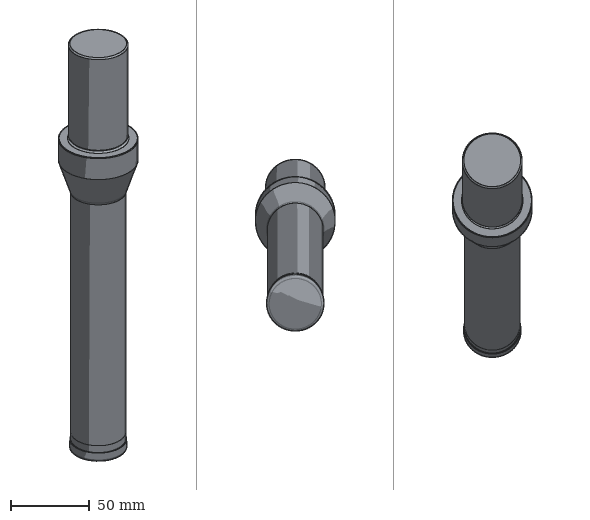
import cadquery as cq
import math

inch = 25.4
total_length = 297.43
axis_start = (0, 0, 0)
axis_end = (0, 1, 0)

foot_radius = 18.35
foot_round = 1.7
dome_height = 0.5
land_top = 7.0
land_top_radius = 18.05
spigot_top = 12.0
spigot_radius = 17.3

tube_radius = 17.8
neck_height = 1.5
cone_small_radius = 18.3
cone_height = 21.4
collar_radius = inch
collar_height = 15.9
collar_chamfer = 0.5
shank_radius = 0.75 * inch
shank_length = 69.5
shank_chamfer = 1.0

groove_height = 2.0
groove_floor_height = 0.9
groove_floor_radius = shank_radius - 1.0
groove_collar_radius = shank_radius + 0.5

collar_top = total_length - shank_length
cone_top = collar_top - collar_height
cone_bottom = cone_top - cone_height
neck_bottom = cone_bottom - neck_height


def revolve_about_z(profile):
    """Close a radius-height outline and turn it about the Z axis."""
    return profile.close().revolve(360, axis_start, axis_end)


def make_foot():
    rim_radius = foot_radius - foot_round
    round_top = dome_height + foot_round
    round_offset = foot_round * math.sqrt(0.5)
    round_middle = (rim_radius + round_offset, round_top - round_offset)

    dome_radius = (rim_radius**2 + dome_height**2) / (2 * dome_height)
    dome_middle_radius = rim_radius / 2
    dome_middle = (
        dome_middle_radius,
        dome_radius - math.sqrt(dome_radius**2 - dome_middle_radius**2),
    )
    profile = (
        cq.Workplane("XZ")
        .threePointArc(dome_middle, (rim_radius, dome_height))
        .threePointArc(round_middle, (foot_radius, round_top))
        .lineTo(land_top_radius, land_top)
        .lineTo(spigot_radius, land_top)
        .lineTo(spigot_radius, spigot_top)
        .lineTo(0, spigot_top)
    )
    return revolve_about_z(profile)


def make_post():
    profile = (
        cq.Workplane("XZ")
        .moveTo(0, spigot_top)
        .lineTo(spigot_radius, spigot_top)
        .lineTo(spigot_radius, land_top)
        .lineTo(tube_radius, land_top)
        .lineTo(tube_radius, neck_bottom)
        .lineTo(cone_small_radius, cone_bottom)
        .lineTo(collar_radius, cone_top)
        .lineTo(collar_radius, collar_top - collar_chamfer)
        .lineTo(collar_radius - collar_chamfer, collar_top)
        .lineTo(groove_collar_radius, collar_top)
        .lineTo(groove_floor_radius, collar_top + groove_floor_height)
        .lineTo(shank_radius, collar_top + groove_height)
        .lineTo(shank_radius, total_length - shank_chamfer)
        .lineTo(shank_radius - shank_chamfer, total_length)
        .lineTo(0, total_length)
    )
    return revolve_about_z(profile)


foot = make_foot()
post = make_post()
result = cq.Compound.makeCompound([post.val(), foot.val()])